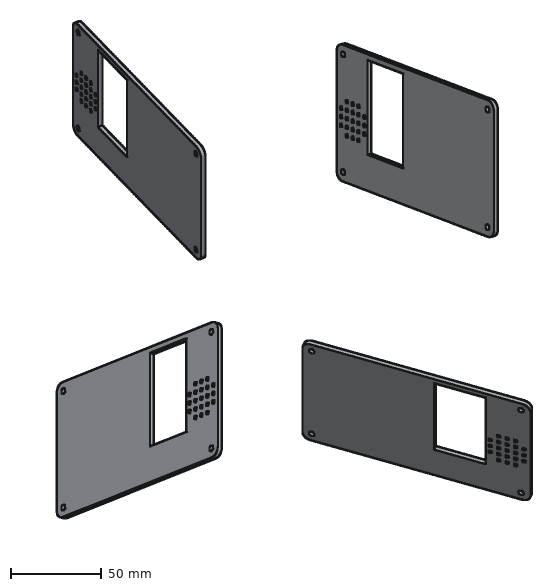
import cadquery as cq

length = 135.0
height = 80.0
thickness = 3.0
corner_radius = 5.0

mount_diameter = 3.2
mount_inset = 5.5

window_width = 30.5
window_height = 55.4
window_left_margin = 26.5
window_top_margin = 3.5

grille_diameter = 2.0
grille_pitch = 5.0
grille_reach = 2
grille_left_offset = 13.8
grille_top_offset = 42.5
grille_center_x = -length / 2 + grille_left_offset
grille_center_z = height / 2 - grille_top_offset


def plate():
    return (
        cq.Workplane("XZ")
        .rect(length, height)
        .extrude(thickness / 2, both=True)
        .edges("|Y")
        .fillet(corner_radius)
    )


def through_holes(points, diameter):
    return (
        cq.Workplane("XZ")
        .pushPoints(points)
        .circle(diameter / 2)
        .extrude(thickness, both=True)
    )


def mounting_holes():
    x = length / 2 - mount_inset
    z = height / 2 - mount_inset
    return through_holes([(-x, -z), (x, -z), (-x, z), (x, z)], mount_diameter)


def window():
    center_x = -length / 2 + window_left_margin + window_width / 2
    center_z = height / 2 - window_top_margin - window_height / 2
    return (
        cq.Workplane("XZ")
        .center(center_x, center_z)
        .rect(window_width, window_height)
        .extrude(thickness, both=True)
    )


def grille_holes():
    steps = range(-grille_reach, grille_reach + 1)
    points = [
        (grille_center_x + column * grille_pitch, grille_center_z + row * grille_pitch)
        for column in steps
        for row in steps
        if abs(column) + abs(row) < 2 * grille_reach
    ]
    return through_holes(points, grille_diameter)


result = plate().cut(mounting_holes()).cut(window()).cut(grille_holes())